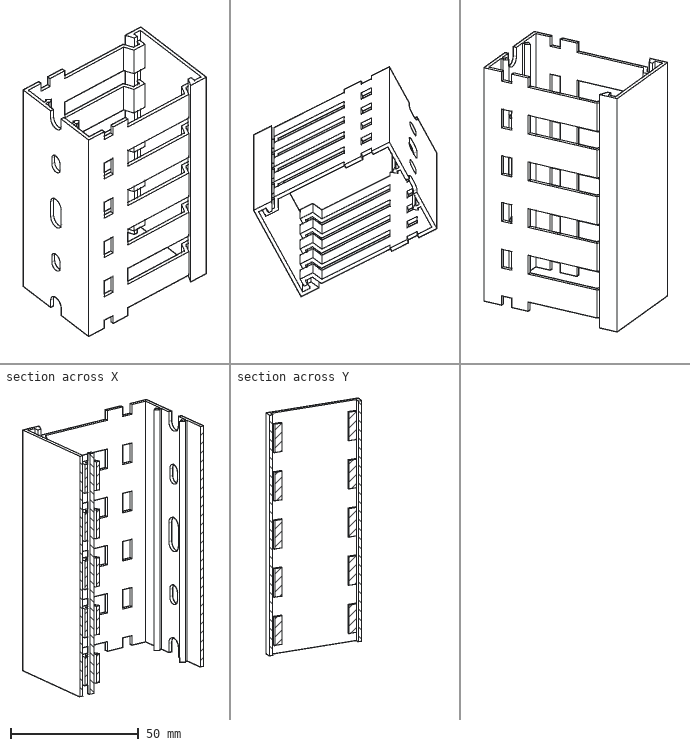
import cadquery as cq
import math

width = 40.0
depth = 60.0
length = 100.0
wall = 1.5

half_width = width / 2
half_length = length / 2
floor_y = -depth / 2
cover_y = depth / 2

hook_inset = 4.0
hook_top = 2.5
lip_inset = 2.2
shoulder_drop = 9.0
shoulder_slope = 0.47
shoulder_thickness = wall * math.hypot(1, shoulder_slope)

skirt_drop = 8.0
foot_inset = 3.6
foot_top = 4.8

opening_pitch = 20.0
opening_width = 8.0
opening_count = 6
finger_root = 20.0
window_bottom = 8.0
window_top = 12.5

slot_pitch = length / 2
large_slot_length = 14.0
large_slot_width = 6.3
small_slot_length = 8.0
small_slot_width = 5.0

rail_x = 8.5
rail_stem = 1.1
rail_head = 2.8
rail_height = 3.3
barb_height = 1.4


def mirrored_profile(half_points):
    """Close a half outline given on the +X side with its mirror image and extrude it along Z."""
    mirror_points = [(-x, y) for x, y in reversed(half_points)]
    return (
        cq.Workplane("XY", origin=(0, 0, -half_length))
        .polyline(half_points + mirror_points)
        .close()
        .extrude(length)
    )


def channel():
    """U-shaped channel with a snap hook at the top of each wall."""
    inner_x = half_width - wall
    hook_outer_x = half_width - hook_inset
    hook_inner_x = hook_outer_x - wall
    lip_x = half_width - lip_inset
    hook_y = cover_y - hook_top
    shoulder_y = cover_y - shoulder_drop

    def shoulder_top(x):
        return shoulder_y + (half_width - x) * shoulder_slope

    def shoulder_underside(x):
        return shoulder_top(x) - shoulder_thickness

    return mirrored_profile([
        (half_width, floor_y),
        (half_width, shoulder_y),
        (hook_outer_x, shoulder_top(hook_outer_x)),
        (hook_outer_x, hook_y - wall),
        (lip_x, hook_y - wall),
        (lip_x, hook_y),
        (hook_inner_x, hook_y),
        (hook_inner_x, shoulder_underside(hook_inner_x)),
        (inner_x, shoulder_underside(inner_x)),
        (inner_x, floor_y + wall),
    ])


def rail(center_x):
    """Barbed rail that stands on the floor and runs the full length."""
    base_y = floor_y + wall
    half_stem = rail_stem / 2
    half_head = rail_head / 2
    return (
        cq.Workplane("XY", origin=(center_x, base_y, -half_length))
        .polyline([
            (half_stem, 0),
            (half_stem, barb_height),
            (half_head, barb_height),
            (0, rail_height),
            (-half_head, barb_height),
            (-half_stem, barb_height),
            (-half_stem, 0),
        ])
        .close()
        .extrude(length)
    )


def wall_opening(bottom, top):
    """Rectangular cutter through both walls, between two heights above the floor's outer face."""
    height = top - bottom
    center_y = floor_y + bottom + height / 2
    return cq.Workplane("XY", origin=(0, center_y, 0)).box(width, height, opening_width)


def floor_slots(slot_length, slot_width, pitch, count):
    """Row of rounded slot cutters through the floor, with their long axis along Z."""
    return (
        cq.Workplane("XZ", origin=(0, floor_y + wall, 0))
        .rarray(1, pitch, 1, count)
        .slot2D(slot_length, slot_width, 90)
        .extrude(wall)
    )


def make_duct():
    """Slotted wiring duct."""
    duct = channel()
    for center_x in (-rail_x, rail_x):
        duct = duct.union(rail(center_x))

    finger_gap = wall_opening(finger_root, depth)
    window = wall_opening(window_bottom, window_top)
    for index in range(opening_count):
        center_z = index * opening_pitch - half_length
        duct = duct.cut(finger_gap.translate((0, 0, center_z)))
        duct = duct.cut(window.translate((0, 0, center_z)))

    duct = duct.cut(floor_slots(large_slot_length, large_slot_width, slot_pitch, 3))
    return duct.cut(floor_slots(small_slot_length, small_slot_width, slot_pitch, 2))


def make_cover():
    """Snap-on cover whose skirts end in inward feet."""
    inner_x = half_width - wall
    foot_x = half_width - foot_inset
    skirt_y = cover_y - skirt_drop
    foot_y = cover_y - foot_top
    return mirrored_profile([
        (half_width, cover_y),
        (half_width, skirt_y),
        (foot_x, skirt_y + foot_inset * shoulder_slope),
        (foot_x, foot_y),
        (inner_x, foot_y),
        (inner_x, cover_y - wall),
    ])


duct = make_duct()
cover = make_cover()

result = cq.Compound.makeCompound([duct.val(), cover.val()])